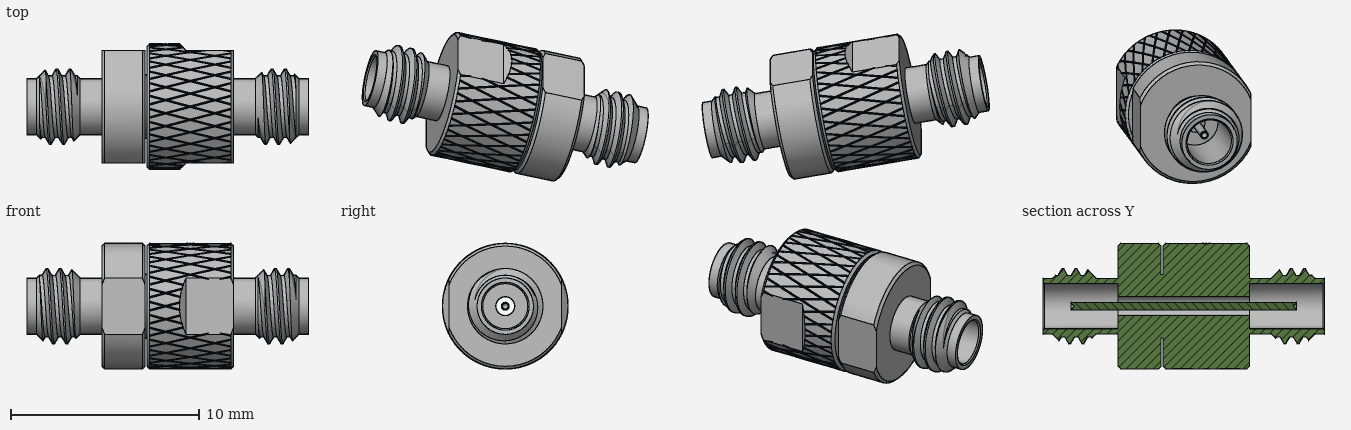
import cadquery as cq
import math

LENGTH = 14.98
TUBE_RADIUS = 1.5
BODY_DIAMETER = 6.7
BODY_RADIUS = BODY_DIAMETER / 2

FLANGE_START = -3.5
FLANGE_END = -1.2
GRIP_START = -1.11
GRIP_END = 3.5
NECK_RADIUS = 1.71
EDGE_CHAMFER = 0.15

FLAT_OFFSET = 3.0
GRIP_FLAT_START = 0.97

KNURL_GROOVES = 30
KNURL_ANGLE = 360 / KNURL_GROOVES
KNURL_DIAMOND_LENGTH = 2.59
KNURL_DEPTH = 0.03
KNURL_HALF_WIDTH = 0.037
GRIP_SECTORS = 3

THREAD_RADIUS = 2.0
THREAD_ROOT_RADIUS = 1.65
THREAD_PITCH = 0.7
THREAD_CREST_WIDTH = 0.09
THREAD_FLANK_ANGLE = 30.0
THREAD_START = 4.66
THREAD_END = 6.98
THREAD_CREST_AT_TOP = 5.72
CUTTER_OVERSIZE = 0.03

SOCKET_RADIUS = 1.2
SOCKET_CHAMFER = 0.07
SOCKET_DEPTH = LENGTH / 2 + FLANGE_START
PIN_HOLE_RADIUS = 0.5

PIN_RADIUS = 0.21
PIN_RECESS = 1.5
PIN_CONE_RADIUS = 0.15
PIN_CONE_DEPTH = PIN_CONE_RADIUS


def cylinder(start, end, radius):
    return cq.Workplane("YZ", origin=(start, 0, 0)).circle(radius).extrude(end - start)


def turned_profile(points, angle=360):
    """Solid of revolution about X, from (x, radius) points; a part turn starts at +Z towards -Y."""
    return cq.Workplane("XZ").polyline(points).close().revolve(angle, (0, 0, 0), (1, 0, 0))


def rotated_about_x(solid, angle):
    return solid.rotate(cq.Vector(0, 0, 0), cq.Vector(1, 0, 0), angle)


def opposite(shape):
    """The same shape at the other end of the adapter, turned half a turn about Z."""
    return shape.rotate((0, 0, 0), (0, 0, 1), 180)


def cut_flats(body, start, end, run_out=0):
    """Cuts both wrench flats; a run-out is the length of the slope at the start of each flat."""
    cutter = (
        cq.Workplane("XY")
        .moveTo(start, FLAT_OFFSET)
        .lineTo(end, FLAT_OFFSET)
        .lineTo(end, BODY_RADIUS)
        .lineTo(start - run_out, BODY_RADIUS)
        .close()
        .extrude(BODY_RADIUS, both=True)
    )
    return body.cut(cutter).cut(cutter.mirror("XZ"))


def make_flange():
    flange = cylinder(FLANGE_START, FLANGE_END, BODY_RADIUS).edges().chamfer(EDGE_CHAMFER)
    return cut_flats(flange, FLANGE_START, FLANGE_END)


def knurl_groove(direction):
    """Cutter for one V-groove between the grip chamfers, crossing the top of the grip at mid-length.

    It runs along a shallow arc that hugs the grip surface at the slant of the knurl.
    """
    length = GRIP_END - GRIP_START - 2 * EDGE_CHAMFER
    slant = math.atan(BODY_RADIUS * math.radians(KNURL_ANGLE) / KNURL_DIAMOND_LENGTH)
    arc_radius = BODY_RADIUS / math.sin(slant) ** 2
    arc_centre = BODY_RADIUS - arc_radius
    half_angle = math.degrees(math.asin(length / 2 / math.cos(slant) / arc_radius))
    groove = (
        cq.Workplane("YZ")
        .moveTo(0, BODY_RADIUS - KNURL_DEPTH)
        .lineTo(2 * KNURL_HALF_WIDTH, BODY_RADIUS + KNURL_DEPTH)
        .lineTo(-2 * KNURL_HALF_WIDTH, BODY_RADIUS + KNURL_DEPTH)
        .close()
        .revolve(2 * half_angle, (0, arc_centre), (1, arc_centre))
    )
    return (
        groove.rotate((0, 0, arc_centre), (0, 1, arc_centre), -half_angle)
        .rotate((0, 0, 0), (0, 0, 1), -direction * math.degrees(slant))
        .translate(((GRIP_START + GRIP_END) / 2, 0, 0))
        .val()
    )


def knurled_sector():
    """One sector of the knurled ring around the tube."""
    ring_section = [
        (GRIP_START, TUBE_RADIUS),
        (GRIP_START, BODY_RADIUS - EDGE_CHAMFER),
        (GRIP_START + EDGE_CHAMFER, BODY_RADIUS),
        (GRIP_END - EDGE_CHAMFER, BODY_RADIUS),
        (GRIP_END, BODY_RADIUS - EDGE_CHAMFER),
        (GRIP_END, TUBE_RADIUS),
    ]
    sector = turned_profile(ring_section, 360 / GRIP_SECTORS).val()
    groove_count = KNURL_GROOVES // GRIP_SECTORS + 1
    for direction in (1, -1):
        groove = knurl_groove(direction)
        sector = sector.cut(*[rotated_about_x(groove, i * KNURL_ANGLE) for i in range(groove_count)])
    return sector


def make_grip():
    sector = knurled_sector()
    others = [rotated_about_x(sector, i * 360 / GRIP_SECTORS) for i in range(1, GRIP_SECTORS)]
    grip = cq.Workplane(sector.fuse(*others).clean())
    return cut_flats(grip, GRIP_FLAT_START, GRIP_END, run_out=BODY_RADIUS - FLAT_OFFSET)


def thread_groove():
    """Cutter for one turn of the thread groove, along X, starting at the bottom at x = 0."""
    slope = math.tan(math.radians(THREAD_FLANK_ANGLE))
    outer_radius = THREAD_RADIUS + CUTTER_OVERSIZE
    outer_half = (THREAD_PITCH - THREAD_CREST_WIDTH) / 2 + CUTTER_OVERSIZE * slope
    root_half = outer_half - (outer_radius - THREAD_ROOT_RADIUS) * slope
    helix = cq.Wire.makeHelix(THREAD_PITCH, THREAD_PITCH, THREAD_ROOT_RADIUS)
    return (
        cq.Workplane("XZ")
        .moveTo(THREAD_ROOT_RADIUS, -root_half)
        .lineTo(outer_radius, -outer_half)
        .lineTo(outer_radius, outer_half)
        .lineTo(THREAD_ROOT_RADIUS, root_half)
        .close()
        .sweep(cq.Workplane(helix), isFrenet=True)
        .rotate((0, 0, 0), (0, 1, 0), 90)
    )


def make_thread():
    """Threaded sleeve at the +X end, bevelled at 45 degrees and grooved turn by turn."""
    bevel = THREAD_RADIUS - TUBE_RADIUS
    sleeve_section = [
        (THREAD_START, 0),
        (THREAD_START, TUBE_RADIUS),
        (THREAD_START + bevel, THREAD_RADIUS),
        (THREAD_END - bevel, THREAD_RADIUS),
        (THREAD_END, TUBE_RADIUS),
        (THREAD_END, 0),
    ]
    thread = turned_profile(sleeve_section)
    groove = thread_groove()
    first_turn = math.floor((THREAD_START - THREAD_CREST_AT_TOP) / THREAD_PITCH)
    last_turn = math.ceil((THREAD_END - THREAD_CREST_AT_TOP) / THREAD_PITCH)
    for turn in range(first_turn, last_turn + 1):
        start = THREAD_CREST_AT_TOP + turn * THREAD_PITCH
        thread = thread.cut(groove.translate((start, 0, 0)), clean=False)
    return thread


def make_socket():
    """Cutter for the socket in the +X end, with a chamfered mouth."""
    mouth = LENGTH / 2
    floor = mouth - SOCKET_DEPTH
    return turned_profile(
        [
            (floor, 0),
            (floor, SOCKET_RADIUS),
            (mouth - SOCKET_CHAMFER, SOCKET_RADIUS),
            (mouth, SOCKET_RADIUS + SOCKET_CHAMFER),
            (mouth, 0),
        ]
    )


def make_housing():
    thread = make_thread()
    socket = make_socket()
    housing = cylinder(-LENGTH / 2, LENGTH / 2, TUBE_RADIUS)
    for feature in (
        make_flange(),
        cylinder(FLANGE_END, GRIP_START, NECK_RADIUS),
        make_grip(),
        thread,
        opposite(thread),
    ):
        housing = housing.union(feature, clean=False)
    pin_hole = cylinder(-LENGTH / 2, LENGTH / 2, PIN_HOLE_RADIUS)
    for cutter in (socket, opposite(socket), pin_hole):
        housing = housing.cut(cutter, clean=False)
    return housing.solids()


def make_pin():
    tip = LENGTH / 2 - PIN_RECESS
    return turned_profile(
        [
            (-tip + PIN_CONE_DEPTH, 0),
            (-tip, PIN_CONE_RADIUS),
            (-tip, PIN_RADIUS),
            (tip, PIN_RADIUS),
            (tip, PIN_CONE_RADIUS),
            (tip - PIN_CONE_DEPTH, 0),
        ]
    )


housing = make_housing()
pin = make_pin()
result = cq.Compound.makeCompound([housing.val(), pin.val()])